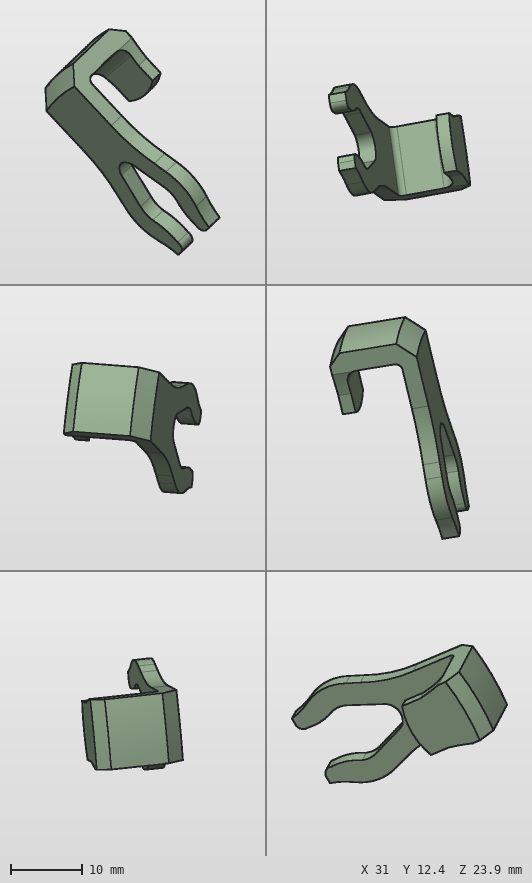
import cadquery as cq

TILT = 30.0

DEPTH = 12.4
HALF_WIDTH = 4.95
BACK_BULGE = 0.3
WALL = 3.0

PLATE = 2.42
TAB = 1.85
TAB_BEVEL = 1.77
PLATE_FILLET = 0.93
TAB_FILLET = 1.7

TAB_LENGTH = 9.45
TAB_CROWN = 0.78
TAB_STRAIGHT = 6.5
TAB_HALF_WIDTH = 4.15
TAB_MID = (4.65, 4.53)

FORK_LENGTH = 29.77
TIP_OUTER = 5.5
TIP_INNER = 4.35
SLOT_ROOT = 14.9

PRONG = [
    ((13.95, 5.3), (17.9, 6.48)),
    (None, (19.85, 7.2)),
    ((22.55, 7.75), (26.25, 6.85)),
    ((27.9, 6.05), (FORK_LENGTH, TIP_OUTER)),
    (None, (FORK_LENGTH, TIP_INNER)),
    ((29.45, 3.65), (28.37, 3.32)),
    ((25.75, 3.47), (23.72, 4.2)),
    ((22.58, 4.35), (21.18, 4.03)),
    (None, (16.1, 2.05)),
]
PRONG_START = (9.92, HALF_WIDTH)


def mirrored(point):
    return (point[0], -point[1])


def add_segment(sketch, middle, end):
    if middle is None:
        return sketch.lineTo(*end)
    return sketch.threePointArc(middle, end)


def extrude_between(outline, y_min, y_max):
    """Extrude an XZ outline from y_min to y_max."""
    return outline.extrude(-(y_max - y_min)).translate((0, y_min, 0))


def start_back():
    """Begin an XZ outline with the curved back, ending at its +Z corner."""
    return (
        cq.Workplane("XZ")
        .moveTo(0, -HALF_WIDTH)
        .threePointArc((-BACK_BULGE, 0), (0, HALF_WIDTH))
    )


def fork_outline():
    sketch = start_back().lineTo(*PRONG_START)
    for middle, end in PRONG:
        sketch = add_segment(sketch, middle, end)
    slot_edge = PRONG[-1][1]
    sketch = sketch.threePointArc((SLOT_ROOT, 0), mirrored(slot_edge))
    starts = [PRONG_START] + [end for _, end in PRONG[:-1]]
    for (middle, _), start in zip(reversed(PRONG), reversed(starts)):
        mirrored_middle = mirrored(middle) if middle else None
        sketch = add_segment(sketch, mirrored_middle, mirrored(start))
    return sketch.close()


def tab_outline():
    return (
        start_back()
        .lineTo(WALL, HALF_WIDTH)
        .threePointArc(TAB_MID, (TAB_STRAIGHT, TAB_HALF_WIDTH))
        .lineTo(TAB_LENGTH, TAB_HALF_WIDTH)
        .threePointArc((TAB_LENGTH + TAB_CROWN, 0), (TAB_LENGTH, -TAB_HALF_WIDTH))
        .lineTo(TAB_STRAIGHT, -TAB_HALF_WIDTH)
        .threePointArc(mirrored(TAB_MID), (WALL, -HALF_WIDTH))
        .close()
    )


def make_cavity():
    """Space between the plates, rounded into the back wall."""
    tab_face = DEPTH - TAB
    return (
        cq.Workplane("XY")
        .moveTo(FORK_LENGTH, PLATE)
        .lineTo(WALL + PLATE_FILLET, PLATE)
        .radiusArc((WALL, PLATE + PLATE_FILLET), PLATE_FILLET)
        .lineTo(WALL, tab_face - TAB_FILLET)
        .radiusArc((WALL + TAB_FILLET, tab_face), TAB_FILLET)
        .lineTo(FORK_LENGTH, tab_face)
        .close()
        .extrude(FORK_LENGTH, both=True)
    )


def bevelled_back():
    """Everything in front of the bevelled back, bounded by the back curve.

    Revolved about the axis of the back arc, so the bevels are conical.
    """
    radius = (HALF_WIDTH**2 + BACK_BULGE**2) / (2 * BACK_BULGE)
    axis_x = radius - BACK_BULGE
    return (
        cq.Workplane("XY")
        .moveTo(PLATE - BACK_BULGE, 0)
        .lineTo(-BACK_BULGE, PLATE)
        .lineTo(-BACK_BULGE, DEPTH - TAB_BEVEL)
        .lineTo(TAB_BEVEL - BACK_BULGE, DEPTH)
        .lineTo(axis_x, DEPTH)
        .lineTo(axis_x, 0)
        .close()
        .revolve(360, (axis_x, 0, 0), (axis_x, 1, 0))
    )


SPLIT = DEPTH / 2
fork_half = extrude_between(fork_outline(), 0, SPLIT)
tab_half = extrude_between(tab_outline(), SPLIT, DEPTH)
body = fork_half.union(tab_half).cut(make_cavity()).intersect(bevelled_back())
result = body.rotate((0, 0, 0), (0, 1, 0), TILT)